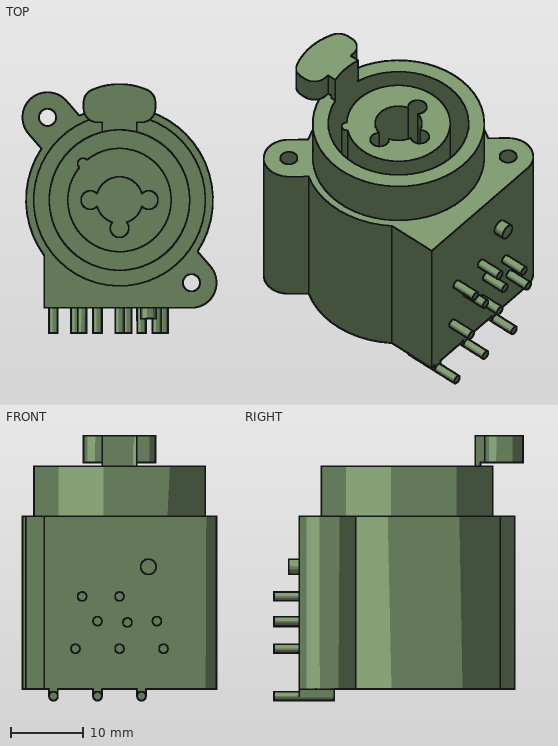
import cadquery as cq
import math

body_radius = 13.0
body_height = 24.03
overall_width = 26.97
left_wall_x = -10.45

ear_radius = 3.5
ear_hole_radius = 1.18
ear_x = overall_width / 2 - ear_radius
ear_y = 11.5
front_y = -(ear_y + ear_radius)

collar_radius = 11.92
collar_top = 31.0
channel_radius = 9.75
core_radius = 7.18
socket_depth = 14.72
socket_floor = collar_top - socket_depth
key_radius = 0.75
key_angle = 135

jack_radius = 3.25
contact_radius = 1.3
contact_centers = [(-4.05, 0), (4.05, 0), (0, -3.9)]

latch_half_width = 5.0
latch_corner_radius = 2.0
latch_near_y = 10.8
latch_far_y = 16.1
latch_side_length = 0.75
latch_bottom = 31.45
latch_top = 35.2
stem_half_width = 2.43
stem_leg_y = 10.23

pin_radius = 0.63
pin_end_y = -18.47
pin_pitch = 6.1
upper_row_z = 12.88
middle_row_z = 9.45
lower_row_z = 5.63
front_pins = [
    (-5.2, upper_row_z), (0, upper_row_z),
    (-pin_pitch / 2, middle_row_z), (1.1, 9.27), (5.2, middle_row_z),
    (-pin_pitch, lower_row_z), (0, lower_row_z), (pin_pitch, lower_row_z),
]

ground_pin_xs = [-1.5 * pin_pitch, -0.5 * pin_pitch, 0.5 * pin_pitch]
ground_pin_bottom = latch_top - 36.8
ground_pin_z = ground_pin_bottom + pin_radius
ground_pin_start_y = -10.1
peg_radius = 1.05
peg_x = 4.0
peg_z = 17.0
peg_length = 1.47


def cylinder(radius, bottom, top, center=(0, 0)):
    """Vertical cylinder between two heights."""
    return cq.Workplane("XY", origin=(*center, bottom)).circle(radius).extrude(top - bottom)


def box(x_range, y_range, z_range):
    """Axis-aligned box spanning the given ranges."""
    (x0, x1), (y0, y1), (z0, z1) = x_range, y_range, z_range
    return cq.Workplane("XY").box(x1 - x0, y1 - y0, z1 - z0, centered=False).translate((x0, y0, z0))


def front_cylinder(radius, x, z, start_y, end_y):
    """Cylinder pointing forward along -Y."""
    return cq.Workplane("XZ", origin=(x, start_y, z)).circle(radius).extrude(start_y - end_y)


def make_ears():
    """Long radial slot shape whose rounded ends are both mounting ears."""
    length = 2 * (math.hypot(ear_x, ear_y) + ear_radius)
    angle = math.degrees(math.atan2(ear_y, -ear_x))
    return cq.Workplane("XY").slot2D(length, 2 * ear_radius, angle).extrude(body_height)


def make_housing():
    """Round body with ears and a flat front base."""
    base = box((left_wall_x, ear_x), (front_y, -ear_y), (0, body_height))
    left_fill = box((left_wall_x, 0), (-ear_y, 0), (0, body_height))
    right_fill = (
        cq.Workplane("XY")
        .polyline([(0, 0), (0, -ear_y), (ear_x, -ear_y)])
        .close()
        .extrude(body_height)
    )
    housing = cylinder(body_radius, 0, body_height).union(make_ears())
    housing = housing.union(base).union(left_fill).union(right_fill)
    for side in (-1, 1):
        hole = cylinder(ear_hole_radius, 0, body_height, (side * ear_x, -side * ear_y))
        housing = housing.cut(hole)
    return housing


def make_core():
    """Keyed core pierced by the jack and contact bores."""
    angle = math.radians(key_angle)
    key_center = (core_radius * math.cos(angle), core_radius * math.sin(angle))
    core = cylinder(core_radius, socket_floor, collar_top)
    core = core.union(cylinder(key_radius, socket_floor, collar_top, key_center))
    core = core.cut(cylinder(jack_radius, socket_floor, collar_top))
    for center in contact_centers:
        core = core.cut(cylinder(contact_radius, socket_floor, collar_top, center))
    return core


def make_shell():
    """Housing and collar, hollowed by the round socket."""
    shell = make_housing().union(cylinder(collar_radius, body_height, collar_top))
    return shell.cut(cylinder(channel_radius, socket_floor, collar_top))


def make_latch():
    """Rounded thumb pad, and a stem that carries it on the collar."""
    w = latch_half_width
    r = latch_corner_radius
    corner_x = w - r
    low_y = latch_near_y + r
    high_y = low_y + latch_side_length

    inner_y = latch_far_y - r
    crown_y = (inner_y**2 - high_y**2 - corner_x**2) / (2 * (inner_y - high_y))
    crown_radius = latch_far_y - crown_y
    tangent_angle = math.atan2(high_y - crown_y, corner_x)
    tangent_x = crown_radius * math.cos(tangent_angle)
    tangent_y = crown_y + crown_radius * math.sin(tangent_angle)

    pad = (
        cq.Workplane("XY", origin=(0, 0, latch_bottom))
        .moveTo(-corner_x, latch_near_y)
        .lineTo(corner_x, latch_near_y)
        .tangentArcPoint((w, low_y), relative=False)
        .lineTo(w, high_y)
        .tangentArcPoint((tangent_x, tangent_y), relative=False)
        .threePointArc((0, latch_far_y), (-tangent_x, tangent_y))
        .tangentArcPoint((-w, high_y), relative=False)
        .lineTo(-w, low_y)
        .tangentArcPoint((-corner_x, latch_near_y), relative=False)
        .close()
        .extrude(latch_top - latch_bottom)
    )
    stem_x = (-stem_half_width, stem_half_width)
    stem = box(stem_x, (0, latch_near_y), (latch_bottom, latch_top))
    stem = stem.union(box(stem_x, (0, stem_leg_y), (collar_top, latch_bottom)))
    stem = stem.cut(cylinder(channel_radius, collar_top, latch_top))
    return pad.union(stem)


def make_ground_pin(x):
    """Round pin under the housing, joined to it by a web."""
    pin = front_cylinder(pin_radius, x, ground_pin_z, ground_pin_start_y, pin_end_y)
    web = box((x - pin_radius, x + pin_radius), (front_y, ground_pin_start_y), (ground_pin_z, 0))
    return pin.union(web)


result = make_shell().union(make_core()).union(make_latch())
for pin_x, pin_z in front_pins:
    result = result.union(front_cylinder(pin_radius, pin_x, pin_z, front_y, pin_end_y))
for ground_x in ground_pin_xs:
    result = result.union(make_ground_pin(ground_x))
result = result.union(front_cylinder(peg_radius, peg_x, peg_z, front_y, front_y - peg_length))